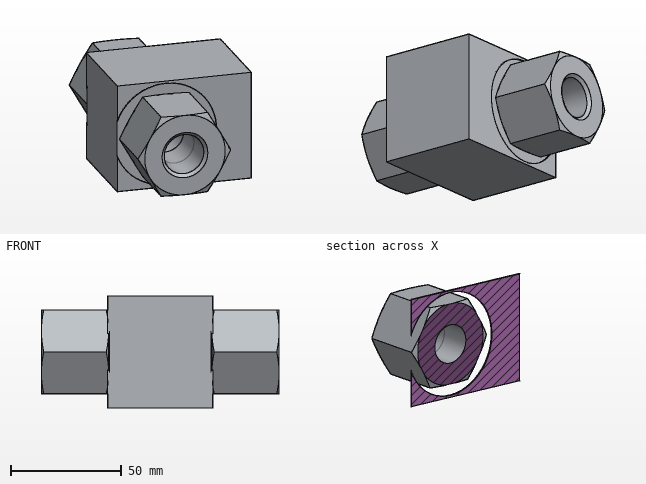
import cadquery as cq
import math


overall_length = 107.6
block_length = 47.7
block_depth = 63.5
block_height = 50.8
bore_to_front = 22.8

spot_face_diameter = 48.5
spot_face_depth = 0.8

hex_across_flats = 38.1
hex_across_corners = hex_across_flats / math.cos(math.radians(30))
corner_bevel_angle = 20.0

seat_face_diameter = 33.3
seat_face_height = 0.3

bore_diameter = 17.9
taper_mouth_diameter = 18.7
taper_ratio = 1 / 16
countersink_diameter = 21.6
countersink_angle = 90.0

outer_end = overall_length / 2
seat = block_length / 2 - spot_face_depth
hex_start = seat + seat_face_height
hex_length = outer_end - hex_start

hex_radius = hex_across_corners / 2
flat_radius = hex_across_flats / 2
bevel_depth = (hex_radius - flat_radius) * math.tan(math.radians(corner_bevel_angle))

countersink_depth = (
    (countersink_diameter - taper_mouth_diameter) / 2 / math.tan(math.radians(countersink_angle / 2))
)
taper_length = (taper_mouth_diameter - bore_diameter) / taper_ratio


def revolve_about_x(profile):
    """Revolve a closed (x, radius) profile about the X axis."""
    return cq.Workplane("XY").polyline(profile).close().revolve(360, (0, 0, 0), (1, 0, 0))


def x_cylinder(diameter, start, length):
    """Cylinder on the X axis, from start toward +X."""
    return cq.Workplane("YZ", origin=(start, 0, 0)).circle(diameter / 2).extrude(length)


def make_block():
    """Rectangular block with a through bore and a spot face at each end."""
    block = cq.Workplane("XY").box(block_length, block_depth, block_height)
    block = block.translate((0, block_depth / 2 - bore_to_front, 0))
    block = block.cut(x_cylinder(bore_diameter, -block_length / 2, block_length))
    for start in (-block_length / 2, seat):
        block = block.cut(x_cylinder(spot_face_diameter, start, spot_face_depth))
    return block


def make_hex_bar():
    """Hexagonal bar with its corners bevelled at both ends."""
    bar = (
        cq.Workplane("YZ", origin=(hex_start, 0, 0))
        .polygon(6, hex_across_corners)
        .extrude(hex_length)
    )
    bevel_envelope = revolve_about_x([
        (hex_start, 0),
        (hex_start, flat_radius),
        (hex_start + bevel_depth, hex_radius),
        (outer_end - bevel_depth, hex_radius),
        (outer_end, flat_radius),
        (outer_end, 0),
    ])
    return bar.intersect(bevel_envelope)


def make_fitting_bore():
    """Straight bore that widens through a taper to a countersunk mouth."""
    taper_mouth = outer_end - countersink_depth
    return revolve_about_x([
        (seat, 0),
        (seat, bore_diameter / 2),
        (taper_mouth - taper_length, bore_diameter / 2),
        (taper_mouth, taper_mouth_diameter / 2),
        (outer_end, countersink_diameter / 2),
        (outer_end, 0),
    ])


def make_fitting(turn):
    """Fitting for the +X end, turned about Z by the given angle."""
    seat_face = x_cylinder(seat_face_diameter, seat, seat_face_height)
    fitting = make_hex_bar().union(seat_face).cut(make_fitting_bore())
    return fitting.rotate((0, 0, 0), (0, 0, 1), turn)


block = make_block()
fittings = [make_fitting(turn).val() for turn in (0, 180)]

result = cq.Compound.makeCompound([block.val(), *fittings])